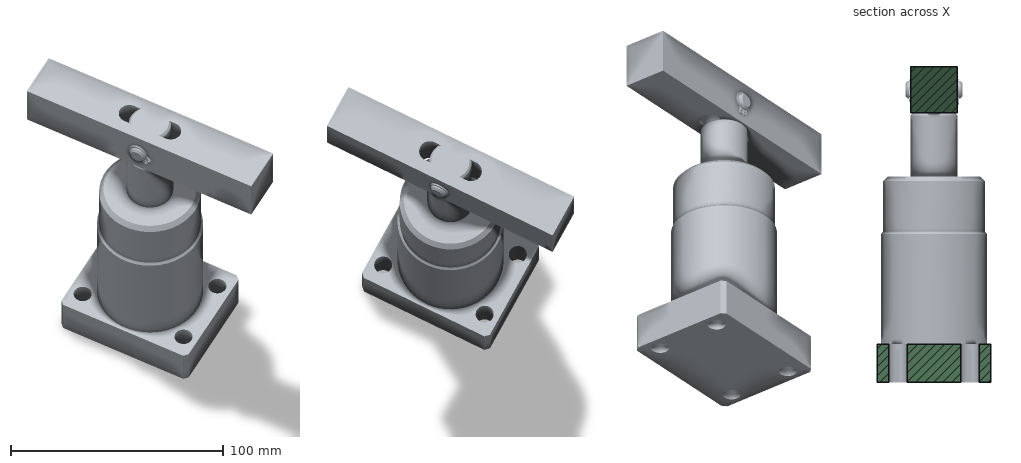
import cadquery as cq

TOTAL_HEIGHT = 149.0

BASE_LENGTH = 68.0
BASE_WIDTH = 54.0
BASE_HEIGHT = 18.0
BASE_CORNER_CHAMFER = 2.0
HOLE_DIAMETER = 8.5
HOLE_SPACING_X = 54.0
HOLE_SPACING_Y = 34.0
BARREL_DIAMETER = 50.0
BARREL_TOP = 71.0
BARREL_CHAMFER = 1.0
CAP_DIAMETER = BARREL_DIAMETER - 2 * BARREL_CHAMFER
CAP_TOP = 97.0
CAP_CHAMFER = 2.1

ARM_LENGTH = 120.0
ARM_SECTION = 22.0
ARM_BOTTOM = TOTAL_HEIGHT - ARM_SECTION
SLOT_LENGTH = 32.0
SLOT_WIDTH = 10.0

ROD_DIAMETER = ARM_SECTION
ROD_CHAMFER = 1.0
TONGUE_DIAMETER = ROD_DIAMETER - 2 * ROD_CHAMFER
TONGUE_TOP = TOTAL_HEIGHT

PIVOT_HEIGHT = TOTAL_HEIGHT - ARM_SECTION / 2
PIN_DIAMETER = 8.0
PIN_LENGTH = 27.1
PIN_CHAMFER = 1.0
GROOVE_DIAMETER = 7.2

RING_THICKNESS = 0.8
RING_RADIUS = 4.6
RING_ECCENTRICITY = 0.5
EAR_RADIUS = 1.0
EAR_REACH = 5.8
EAR_OFFSET = 1.3
EAR_HOLE_DIAMETER = 1.2
RING_GAP = 2 * (EAR_OFFSET - EAR_RADIUS)
FRONT_RING_TILT = 54.0
REAR_RING_TILT = 0.0


def cylinder(diameter, bottom, top):
    """Upright cylinder on the Z axis."""
    return cq.Workplane("XY").workplane(offset=bottom).circle(diameter / 2).extrude(top - bottom)


def make_housing():
    base = (
        cq.Workplane("XY")
        .box(BASE_LENGTH, BASE_WIDTH, BASE_HEIGHT, centered=(True, True, False))
        .edges("|Z")
        .chamfer(BASE_CORNER_CHAMFER)
        .faces(">Z")
        .workplane()
        .rarray(HOLE_SPACING_X, HOLE_SPACING_Y, 2, 2)
        .hole(HOLE_DIAMETER)
    )
    barrel = cylinder(BARREL_DIAMETER, BASE_HEIGHT, BARREL_TOP).faces(">Z").chamfer(BARREL_CHAMFER)
    cap = cylinder(CAP_DIAMETER, BARREL_TOP, CAP_TOP).faces(">Z").chamfer(CAP_CHAMFER)
    return base.union(barrel).union(cap)


def pivot_cylinder(diameter, length):
    """Cylinder on the pivot axis, centred on Y = 0."""
    return (
        cq.Workplane("XZ")
        .center(0, PIVOT_HEIGHT)
        .circle(diameter / 2)
        .extrude(length / 2, both=True)
    )


def make_rod():
    shank = cylinder(ROD_DIAMETER, CAP_TOP, ARM_BOTTOM).faces(">Z").chamfer(ROD_CHAMFER)
    round_tongue = cylinder(TONGUE_DIAMETER, ARM_BOTTOM, TONGUE_TOP).faces(">Z").chamfer(ROD_CHAMFER)
    slot_filler = (
        cq.Workplane("XY")
        .workplane(offset=ARM_BOTTOM)
        .rect(ROD_DIAMETER, SLOT_WIDTH)
        .extrude(ARM_SECTION)
    )
    tongue = round_tongue.intersect(slot_filler)
    return shank.union(tongue).cut(pivot_cylinder(PIN_DIAMETER, ARM_SECTION))


def make_arm():
    bar = (
        cq.Workplane("XY")
        .workplane(offset=ARM_BOTTOM)
        .rect(ARM_LENGTH, ARM_SECTION)
        .extrude(ARM_SECTION)
    )
    slot = (
        cq.Workplane("XY")
        .workplane(offset=ARM_BOTTOM)
        .slot2D(SLOT_LENGTH, SLOT_WIDTH)
        .extrude(ARM_SECTION)
    )
    return bar.cut(slot).cut(pivot_cylinder(PIN_DIAMETER, ARM_SECTION))


def make_pin():
    """Chamfered pin with a ring groove just outside each side of the arm."""
    body = pivot_cylinder(PIN_DIAMETER, PIN_LENGTH).faces("<Y or >Y").chamfer(PIN_CHAMFER)
    groove_span = pivot_cylinder(PIN_DIAMETER, ARM_SECTION + 2 * RING_THICKNESS)
    core = pivot_cylinder(GROOVE_DIAMETER, ARM_SECTION + 2 * RING_THICKNESS)
    between_grooves = pivot_cylinder(PIN_DIAMETER, ARM_SECTION)
    return body.cut(groove_span.cut(core).cut(between_grooves))


def make_ring(inner_y, tilt):
    """Ring from inner_y toward -Y, its gap turned by tilt degrees about the pivot."""
    plane = cq.Workplane("XZ", origin=(0, inner_y, PIVOT_HEIGHT))
    ring = plane.center(0, RING_ECCENTRICITY).circle(RING_RADIUS).extrude(RING_THICKNESS)
    for side in (-1, 1):
        ear_x = side * EAR_OFFSET
        tip = plane.center(ear_x, -EAR_REACH).circle(EAR_RADIUS).extrude(RING_THICKNESS)
        stem = (
            plane.center(ear_x, -EAR_REACH / 2)
            .rect(2 * EAR_RADIUS, EAR_REACH)
            .extrude(RING_THICKNESS)
        )
        hole = plane.center(ear_x, -EAR_REACH).circle(EAR_HOLE_DIAMETER / 2).extrude(RING_THICKNESS)
        ring = ring.union(tip).union(stem).cut(hole)
    bore = plane.circle(GROOVE_DIAMETER / 2).extrude(RING_THICKNESS)
    gap = plane.center(0, -EAR_REACH / 2).rect(RING_GAP, EAR_REACH).extrude(RING_THICKNESS)
    ring = ring.cut(bore).cut(gap)
    return ring.rotate((0, 0, PIVOT_HEIGHT), (0, 1, PIVOT_HEIGHT), -tilt)


housing = make_housing()
rod = make_rod()
arm = make_arm()
pin = make_pin()
ring_places = [
    (-ARM_SECTION / 2, FRONT_RING_TILT),
    (ARM_SECTION / 2 + RING_THICKNESS, REAR_RING_TILT),
]
rings = [make_ring(inner_y, tilt) for inner_y, tilt in ring_places]

result = cq.Compound.makeCompound(
    [housing.val(), rod.val(), arm.val(), pin.val(), *[ring.val() for ring in rings]]
)